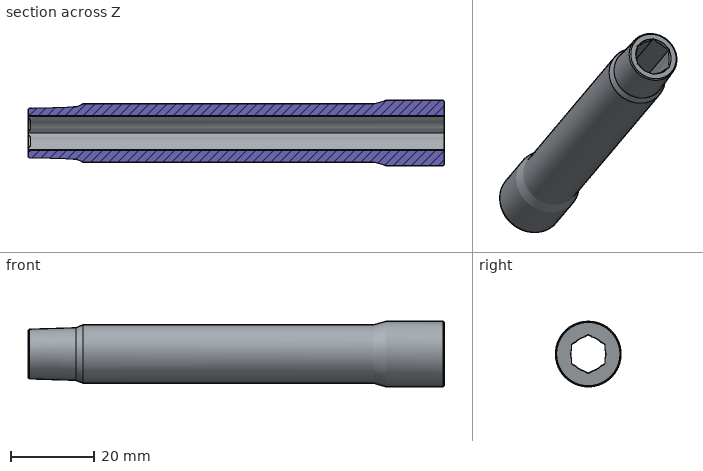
import cadquery as cq
import math

total_length = 100.0
nose_end = 11.5
body_start = 13.2
body_end = 83.0
head_start = 86.0

nose_tip_radius = 6.0
nose_root_radius = 6.35
body_radius = 7.05
head_radius = 7.9

nose_chamfer = 0.3
head_chamfer = 0.3

hex_across_flats = 8.0
relief_width = 2.3
relief_radius = math.hypot(hex_across_flats / 2, relief_width / 2)

mouth_radius = 4.45
mouth_depth = 0.6


def revolve_about_x(profile):
    """Revolve a closed (x, radius) profile about the X axis."""
    axis_start = (0, 0, 0)
    axis_end = (1, 0, 0)
    return cq.Workplane("XZ").polyline(profile).close().revolve(360, axis_start, axis_end)


def make_outer_body():
    """Tapered nose, long cylindrical body and larger head."""
    return revolve_about_x([
        (0, 0),
        (0, nose_tip_radius - nose_chamfer),
        (nose_chamfer, nose_tip_radius),
        (nose_end, nose_root_radius),
        (body_start, body_radius),
        (body_end, body_radius),
        (head_start, head_radius),
        (total_length - head_chamfer, head_radius),
        (total_length, head_radius - head_chamfer),
        (total_length, 0),
    ])


def make_drive_bore():
    """Relieved hexagon through the full length, with corners pointing up and down."""
    hex_across_corners = hex_across_flats / math.cos(math.radians(30))
    hexagon = (
        cq.Workplane("YZ")
        .transformed(rotate=(0, 0, 90))
        .polygon(6, hex_across_corners)
        .extrude(total_length)
    )
    relief = cq.Workplane("YZ").circle(relief_radius).extrude(total_length)
    return hexagon.union(relief)


def make_mouth_cone():
    """Lead-in cone that narrows to the relief radius."""
    return revolve_about_x([
        (0, 0),
        (0, mouth_radius),
        (mouth_depth, relief_radius),
        (mouth_depth, 0),
    ])


socket = make_outer_body().cut(make_drive_bore()).cut(make_mouth_cone())

result = socket.translate((-total_length / 2, 0, 0))